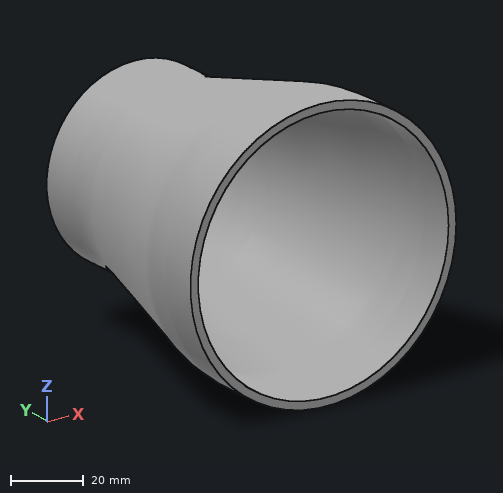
import cadquery as cq
import math

length = 90.0
large_outer_diameter = 88.9
large_inner_diameter = 83.7
small_outer_diameter = 60.3
small_inner_diameter = 56.3
collar_length = 12.0
bend_radius = 45.0


def reducer_body(large_diameter, small_diameter):
    """Solid of revolution: collar, bend, cone, opposite bend, collar, all tangent."""
    large_radius = large_diameter / 2
    small_radius = small_diameter / 2
    radius_drop = large_radius - small_radius
    taper_length = length - 2 * collar_length

    centre_rise = 2 * bend_radius - radius_drop
    centre_distance = math.hypot(taper_length, centre_rise)
    centre_line_angle = math.atan2(taper_length, centre_rise)
    cone_angle = centre_line_angle - math.acos(2 * bend_radius / centre_distance)

    def bend_offset(angle):
        """Axial run and radial change of a bend after turning by the angle."""
        return bend_radius * math.sin(angle), bend_radius * (1 - math.cos(angle))

    mid_run, mid_change = bend_offset(cone_angle / 2)
    end_run, end_change = bend_offset(cone_angle)
    large_bend_start = collar_length
    small_bend_end = length - collar_length

    return (
        cq.Workplane("XY")
        .lineTo(large_radius, 0)
        .lineTo(large_radius, large_bend_start)
        .threePointArc(
            (large_radius - mid_change, large_bend_start + mid_run),
            (large_radius - end_change, large_bend_start + end_run),
        )
        .lineTo(small_radius + end_change, small_bend_end - end_run)
        .threePointArc(
            (small_radius + mid_change, small_bend_end - mid_run),
            (small_radius, small_bend_end),
        )
        .lineTo(small_radius, length)
        .lineTo(0, length)
        .close()
        .revolve(360, (0, 0, 0), (0, 1, 0))
    )


outside = reducer_body(large_outer_diameter, small_outer_diameter)
bore = reducer_body(large_inner_diameter, small_inner_diameter)
result = outside.cut(bore)